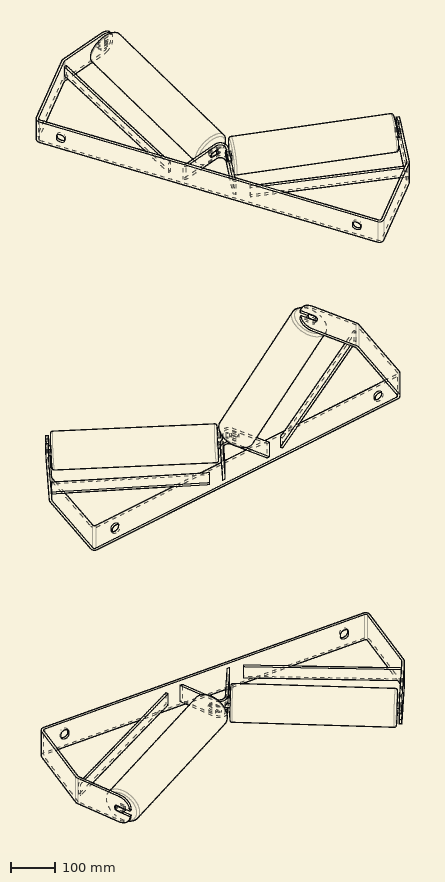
import cadquery as cq
import math


FRAME_LENGTH = 840.0
FRAME_HEIGHT = 80.0
PLATE = 6.0
SIDE_TOP = 181.5
FLANGE_LENGTH = 144.5
FLANGE_CORNER = 30.0
BASE_BEND_RADIUS = 5.0
FLANGE_BEND_RADIUS = 10.0
BASE_HOLE_X = 358.0
BASE_HOLE_WIDTH = 20.0
BASE_HOLE_HEIGHT = 28.0

ROLLER_TILT = 30.0
ROLLER_DIAMETER = 89.0
ROLLER_GAP = 6.0
ROLLER_ROUND = 5.0
AXIS_ON_FLANGE = 114.0
TIP_LENGTH = 19.0
TIP_WIDTH = 13.5
SLOT_WIDTH = 17.0

BRACKET_HALF_SPAN = 64.0
BRACKET_HEIGHT = 50.0
BRACKET_BEND_RADIUS = 13.5

BRACE_FOOT_X = 99.0
BRACE_HEIGHT = 35.0

TILT = math.radians(ROLLER_TILT)
HALF_LENGTH = FRAME_LENGTH / 2

LEG = cq.Vector(math.sin(TILT), math.cos(TILT), 0)
AXIS = cq.Vector(math.cos(TILT), -math.sin(TILT), 0)

OUTER_BEND = cq.Vector(-HALF_LENGTH, SIDE_TOP, 0)
INNER_BEND = OUTER_BEND + cq.Vector(PLATE, -PLATE * math.tan(TILT / 2), 0)
FLANGE_END = OUTER_BEND + LEG * FLANGE_LENGTH
AXIS_AT_FLANGE = INNER_BEND + LEG * AXIS_ON_FLANGE

BRACKET_FOOT = cq.Vector(-BRACKET_HALF_SPAN, PLATE, 0)
SUPPORT_SPACING = (BRACKET_FOOT - INNER_BEND).dot(AXIS)

SLOT_DROP = math.sqrt(SLOT_WIDTH**2 - TIP_WIDTH**2) / 2 - TIP_LENGTH / 2


def mirrored(point):
    return cq.Vector(-point.x, point.y, point.z)


def plate_from(points, height):
    """Extrude a closed XY outline symmetrically about Z = 0."""
    outline = cq.Workplane("XY").polyline([(p.x, p.y) for p in points]).close()
    return outline.extrude(height / 2, both=True)


def round_bend(body, corner, radius):
    """Round the Z-parallel edge that passes through the corner."""
    nearest = cq.selectors.NearestToPointSelector(corner.toTuple())
    return body.edges("|Z").edges(nearest).fillet(radius)


def across_axis(origin):
    """Workplane facing along the left roller axis, with local X along the leg and local Y along Z."""
    return cq.Workplane(cq.Plane(origin=origin.toTuple(), xDir=LEG.toTuple(), normal=(AXIS * -1).toTuple()))


def slot_cutter(origin, length):
    """Slot through one plate, open along the leg, whose round bottom carries the corners of the shaft tip."""
    plane = across_axis(origin).center(SLOT_DROP, 0)
    opening = plane.center(length / 2, 0).rect(length, SLOT_WIDTH).extrude(-PLATE)
    bottom = plane.circle(SLOT_WIDTH / 2).extrude(-PLATE)
    return opening.union(bottom)


def make_frame():
    flange_inner_end = FLANGE_END + AXIS * PLATE
    outer_base = cq.Vector(-HALF_LENGTH, 0, 0)
    inner_base = outer_base + cq.Vector(PLATE, PLATE, 0)
    left = [outer_base, OUTER_BEND, FLANGE_END, flange_inner_end, INNER_BEND, inner_base]
    right = [mirrored(p) for p in reversed(left)]
    frame = plate_from(left + right, FRAME_HEIGHT)

    bends = ((outer_base, inner_base, BASE_BEND_RADIUS), (OUTER_BEND, INNER_BEND, FLANGE_BEND_RADIUS))
    for outer, inner, radius in bends:
        for side in (cq.Vector, mirrored):
            frame = round_bend(frame, side(outer), radius + PLATE)
            frame = round_bend(frame, side(inner), radius)

    for end in (FLANGE_END, mirrored(FLANGE_END)):
        inward = AXIS if end.x < 0 else mirrored(AXIS)
        middle = end + inward * (PLATE / 2)
        for z in (-FRAME_HEIGHT / 2, FRAME_HEIGHT / 2):
            corner = cq.selectors.NearestToPointSelector((middle.x, middle.y, z))
            frame = frame.edges(cq.selectors.ParallelDirSelector(inward)).edges(corner).fillet(FLANGE_CORNER)

    slot = slot_cutter(AXIS_AT_FLANGE - AXIS * PLATE, FLANGE_LENGTH)
    frame = frame.cut(slot).cut(slot.mirror("YZ"))

    holes = (
        cq.Workplane("XZ")
        .pushPoints([(-BASE_HOLE_X, 0), (BASE_HOLE_X, 0)])
        .slot2D(BASE_HOLE_HEIGHT, BASE_HOLE_WIDTH, 90)
        .extrude(-PLATE)
    )
    return frame.cut(holes)


def make_bracket():
    outer_apex = cq.Vector(0, PLATE + BRACKET_HALF_SPAN / math.tan(TILT), 0)
    inner_apex = outer_apex - cq.Vector(0, PLATE / math.sin(TILT), 0)
    inner_foot = BRACKET_FOOT + cq.Vector(PLATE / math.cos(TILT), 0, 0)
    outline = [BRACKET_FOOT, outer_apex, mirrored(BRACKET_FOOT), mirrored(inner_foot), inner_apex, inner_foot]
    bracket = plate_from(outline, BRACKET_HEIGHT)
    bracket = round_bend(bracket, outer_apex, BRACKET_BEND_RADIUS + PLATE)
    bracket = round_bend(bracket, inner_apex, BRACKET_BEND_RADIUS)

    slot = slot_cutter(AXIS_AT_FLANGE + AXIS * SUPPORT_SPACING, BRACKET_HALF_SPAN)
    return bracket.cut(slot).cut(slot.mirror("YZ"))


def make_brace():
    """Left square-cut brace, from the inside of the flange bend down to the base."""
    bend_depth = FLANGE_BEND_RADIUS * (1 / math.cos(TILT / 2) - 1)
    head = INNER_BEND + cq.Vector(math.cos(TILT / 2), -math.sin(TILT / 2), 0) * bend_depth
    foot = cq.Vector(-BRACE_FOOT_X, PLATE, 0)
    along = (foot - head).normalized()
    thickness = cq.Vector(-along.y, along.x, 0) * PLATE
    return plate_from([head, foot, foot + thickness, head + thickness], BRACE_HEIGHT)


def make_roller():
    """Left roller with its fixed shaft, whose flat tips reach through the plates."""
    tube_length = SUPPORT_SPACING - 2 * ROLLER_GAP
    tube = across_axis(AXIS_AT_FLANGE + AXIS * ROLLER_GAP).circle(ROLLER_DIAMETER / 2).extrude(-tube_length)
    tube = tube.edges("%CIRCLE").fillet(ROLLER_ROUND)
    shaft_length = SUPPORT_SPACING + 2 * PLATE
    shaft = across_axis(AXIS_AT_FLANGE - AXIS * PLATE).rect(TIP_LENGTH, TIP_WIDTH).extrude(-shaft_length)
    return tube.union(shaft)


frame = make_frame()
bracket = make_bracket()

braces = []
rollers = []
for bodies, make_body in ((braces, make_brace), (rollers, make_roller)):
    left_body = make_body()
    for body in (left_body, left_body.mirror("YZ")):
        bodies.append(body.val())

result = cq.Compound.makeCompound([frame.val(), bracket.val(), *braces, *rollers])